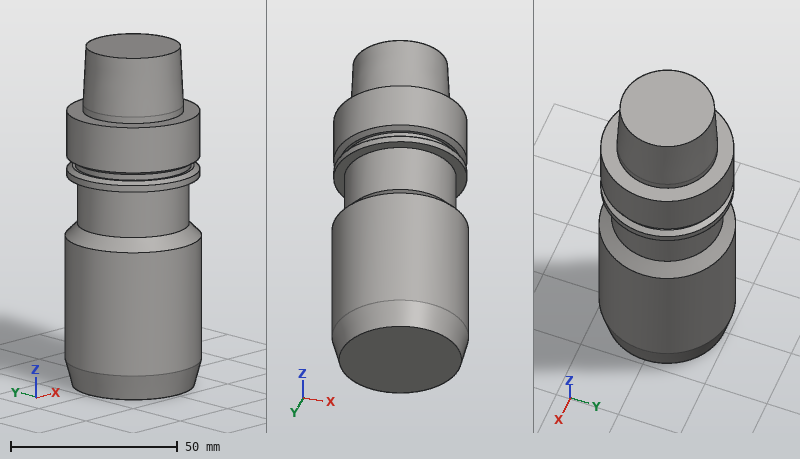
import math

import cadquery as cq

BODY_DIA = 41.0
NECK_DIA = 33.6
COLLAR_DIA = 40.0
GROOVE_DIA = 34.8
TAPER_BASE_DIA = 30.2

NOSE_ANGLE = 15.0
SHOULDER_ANGLE = 45.0
FLANK_ANGLE = 60.0
TAPER_RATIO = 1 / 10

NOSE_TOP = 8.0
NECK_BOTTOM = 50.0
FLANGE_BOTTOM = 65.0
GROOVE_BOTTOM = 67.0
GROOVE_TOP = 71.0
COLLAR_TOP = 85.0
TAPER_BASE = 87.0
TOTAL_HEIGHT = 105.0

FLANK_HEIGHT = 1.0

NOSE_TIP_DIA = BODY_DIA - 2 * NOSE_TOP * math.tan(math.radians(NOSE_ANGLE))
SHOULDER_BOTTOM = NECK_BOTTOM - (BODY_DIA - NECK_DIA) / 2 / math.tan(math.radians(SHOULDER_ANGLE))
FLANK_DIA = COLLAR_DIA - 2 * FLANK_HEIGHT * math.tan(math.radians(FLANK_ANGLE))
FLOOR_BOTTOM = GROOVE_BOTTOM + FLANK_HEIGHT
FLOOR_TOP = GROOVE_TOP - FLANK_HEIGHT
TAPER_TIP_DIA = TAPER_BASE_DIA - (TOTAL_HEIGHT - TAPER_BASE) * TAPER_RATIO


def rim(diameter, height):
    """Point of the half section on the -Y rim of a round section."""
    return (-diameter / 2, height)


def make_profile():
    """Closed half section in the YZ plane, from the bottom centre up to the top centre."""
    return (
        cq.Workplane("YZ")
        .lineTo(*rim(NOSE_TIP_DIA, 0))
        .lineTo(*rim(BODY_DIA, NOSE_TOP))
        .lineTo(*rim(BODY_DIA, SHOULDER_BOTTOM))
        .lineTo(*rim(NECK_DIA, NECK_BOTTOM))
        .lineTo(*rim(NECK_DIA, FLANGE_BOTTOM))
        .lineTo(*rim(COLLAR_DIA, FLANGE_BOTTOM))
        .lineTo(*rim(COLLAR_DIA, GROOVE_BOTTOM))
        .lineTo(*rim(FLANK_DIA, FLOOR_BOTTOM))
        .lineTo(*rim(GROOVE_DIA, FLOOR_BOTTOM))
        .lineTo(*rim(GROOVE_DIA, FLOOR_TOP))
        .lineTo(*rim(FLANK_DIA, FLOOR_TOP))
        .lineTo(*rim(COLLAR_DIA, GROOVE_TOP))
        .lineTo(*rim(COLLAR_DIA, COLLAR_TOP))
        .lineTo(*rim(TAPER_BASE_DIA, COLLAR_TOP))
        .lineTo(*rim(TAPER_BASE_DIA, TAPER_BASE))
        .lineTo(*rim(TAPER_TIP_DIA, TOTAL_HEIGHT))
        .lineTo(*rim(0, TOTAL_HEIGHT))
        .close()
    )


result = make_profile().revolve(360, (0, 0, 0), (0, 1, 0))